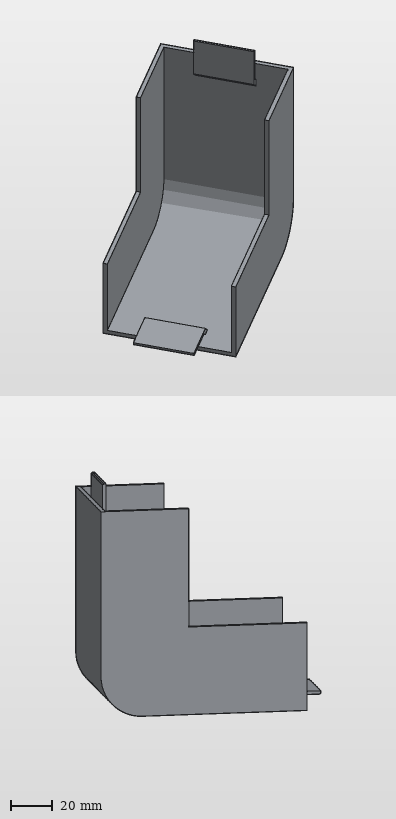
import cadquery as cq

overall_length = 110.0
width = 65.9
tab_overhang = 10.0
leg_length = overall_length - tab_overhang
leg_depth = 42.6
wall = 2.2
outer_radius = 20.0

tab_width = 30.0
tab_length = 20.0
tab_thickness = 1.6
tab_gap = 2.0
tip_chamfer = 0.5
foot_wall_height = 4.0
foot_reach = tab_gap + tab_thickness

back = overall_length
floor = 0.0


def l_profile(offset, radius):
    """L outline in the YZ plane, moved inward from the back and floor."""
    y_back = back - offset
    z_floor = floor + offset
    return (
        cq.Workplane("YZ")
        .moveTo(tab_overhang, z_floor)
        .lineTo(y_back - radius, z_floor)
        .radiusArc((y_back, z_floor + radius), -radius)
        .lineTo(y_back, leg_length)
        .lineTo(back - leg_depth, leg_length)
        .lineTo(back - leg_depth, leg_depth)
        .lineTo(tab_overhang, leg_depth)
        .close()
    )


def make_channel():
    """L-shaped trough, open at both ends and on its inner side."""
    outside = l_profile(0, outer_radius).extrude(width / 2, both=True)
    inside = l_profile(wall, outer_radius - wall).extrude(width / 2 - wall, both=True)
    return outside.cut(inside)


def make_upper_tab():
    """Tab with a chamfered tip, standing on a foot that slopes down at 45 degrees to the back wall."""
    wall_face = back - wall
    tab_back = wall_face - tab_gap
    tab_front = wall_face - foot_reach
    tab_bottom = overall_length - tab_length
    foot_bottom = tab_bottom - foot_reach
    foot_wall_top = foot_bottom + foot_wall_height
    foot_top = foot_wall_top + tab_gap
    outline = [
        (wall_face, foot_bottom),
        (tab_front, tab_bottom),
        (tab_front, overall_length),
        (tab_back - tip_chamfer, overall_length),
        (tab_back, overall_length - tip_chamfer),
        (tab_back, foot_top),
        (wall_face, foot_wall_top),
    ]
    return cq.Workplane("YZ").polyline(outline).close().extrude(tab_width / 2, both=True)


upper_tab = make_upper_tab()

corner = (0, back, floor)
lower_tab = upper_tab.mirror(cq.Vector(0, 1, 1), corner)

result = make_channel().union(upper_tab).union(lower_tab)